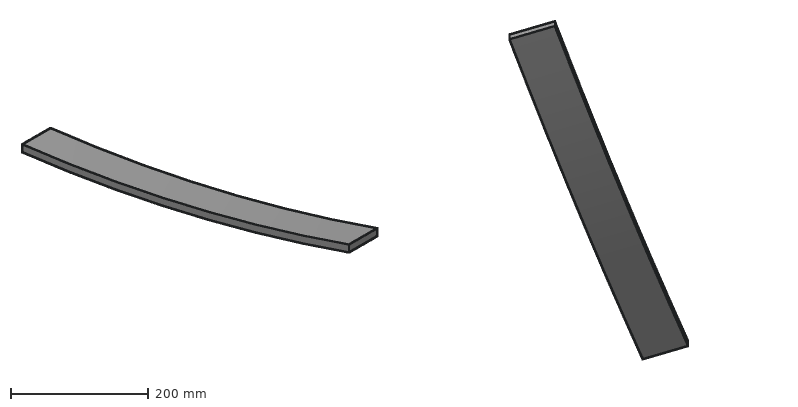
import cadquery as cq

length = 590.0
width = 70.0
overall_height = 30.0
thickness = 13.0

sag = overall_height - thickness
half_length = length / 2

profile = (
    cq.Workplane("XZ")
    .moveTo(-half_length, sag)
    .threePointArc((0, 0), (half_length, sag))
    .lineTo(half_length, overall_height)
    .threePointArc((0, thickness), (-half_length, overall_height))
    .close()
)

result = profile.extrude(width / 2, both=True)